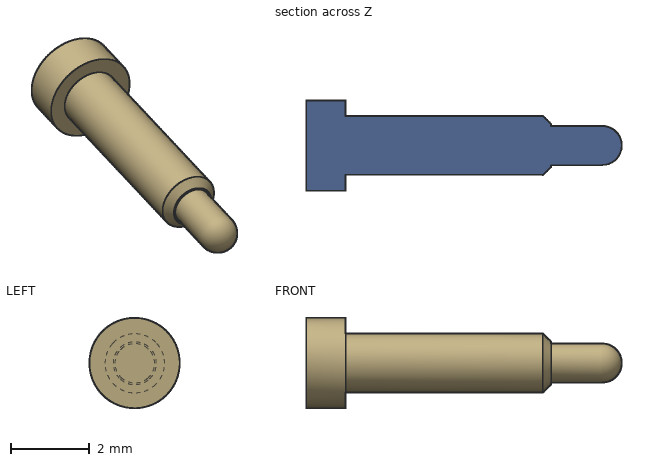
import cadquery as cq

total_length = 8.0
head_length = 1.0
head_radius = 2.3 / 2
barrel_end = 6.0
barrel_radius = 1.5 / 2
taper_length = 0.21
taper_drop = 0.21
plunger_radius = 1.0 / 2

taper_end = barrel_end + taper_length
taper_end_radius = barrel_radius - taper_drop
tip_start = total_length - plunger_radius
tip_mid = plunger_radius * 0.5**0.5

half_outline = (
    cq.Workplane("XY")
    .lineTo(0, head_radius)
    .lineTo(head_length, head_radius)
    .lineTo(head_length, barrel_radius)
    .lineTo(barrel_end, barrel_radius)
    .lineTo(taper_end, taper_end_radius)
    .lineTo(taper_end, plunger_radius)
    .lineTo(tip_start, plunger_radius)
    .threePointArc((tip_start + tip_mid, tip_mid), (total_length, 0))
    .close()
)

result = half_outline.revolve(360, (0, 0, 0), (1, 0, 0))